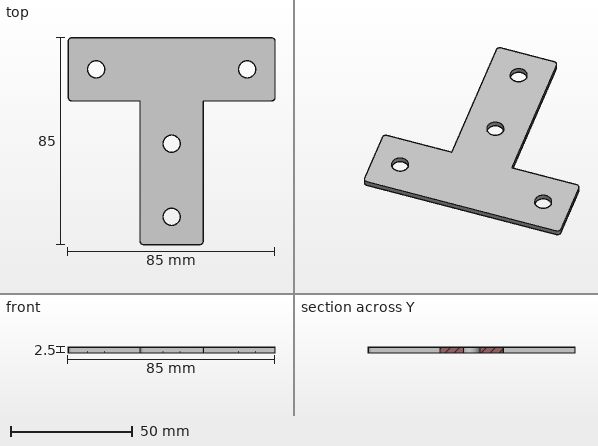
import cadquery as cq

SIDE = 85.0
THICKNESS = 2.5
ARM_WIDTH = 26.0
CORNER_RADIUS = 1.5

HOLE_DIAMETER = 7.0
BAR_HOLE_SPACING = 62.0
STEM_END_TO_HOLE = 11.5
STEM_HOLE_SPACING = 30.0


def centered_plate(width, length, center_y):
    return cq.Workplane("XY").center(0, center_y).rect(width, length).extrude(THICKNESS)


bar_center_y = (SIDE - ARM_WIDTH) / 2
crossbar = centered_plate(SIDE, ARM_WIDTH, bar_center_y).edges("|Z").fillet(CORNER_RADIUS)
stem = centered_plate(ARM_WIDTH, SIDE, 0).edges("|Z and <Y").fillet(CORNER_RADIUS)
plate = crossbar.union(stem)

lower_hole_y = STEM_END_TO_HOLE - SIDE / 2
hole_centers = [
    (-BAR_HOLE_SPACING / 2, bar_center_y),
    (BAR_HOLE_SPACING / 2, bar_center_y),
    (0, lower_hole_y),
    (0, lower_hole_y + STEM_HOLE_SPACING),
]
holes = cq.Workplane("XY").pushPoints(hole_centers).circle(HOLE_DIAMETER / 2).extrude(THICKNESS)

result = plate.cut(holes)